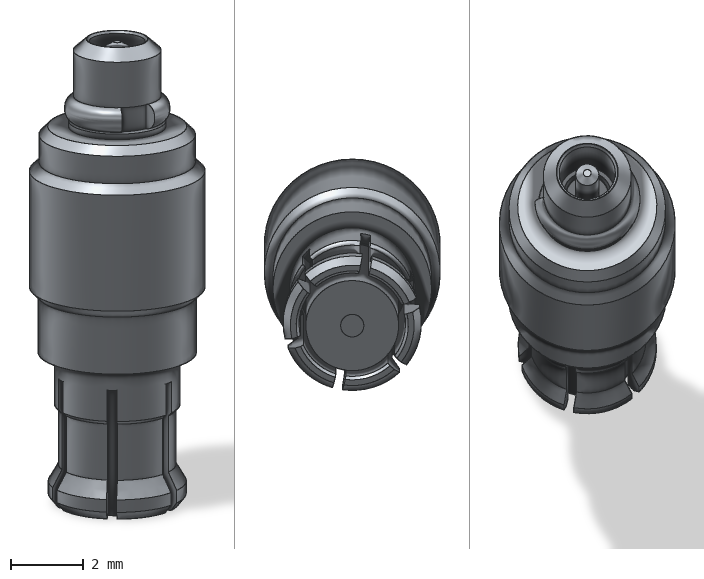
import cadquery as cq
import math

total_height = 13.28

housing_bottom_z = 5.95
barrel_radius = 2.42
barrel_top_z = 9.51
shoulder_radius = 2.15
shoulder_base_z = 9.76
shoulder_top_z = 10.78
shoulder_bevel = 0.24
nose_collar_radius = 1.34
nose_radius = 1.21
nose_rim_radius = 0.85
nose_bevel_height = 0.32

groove_radius = 1.12
groove_bottom_z = 10.94
ring_height = 0.72
ring_outer_radius = 1.45
ring_band_height = 0.07
ring_gap_half_angle = 20.0

socket_radius = 0.77
socket_depth = 1.6
throat_radius = 0.58
bore_bevel = 0.07
insulator_face_depth = 1.73

flange_radius = 2.18
flange_bottom_z = 4.32
sleeve_radius = 1.73
sleeve_bottom_z = 2.83
finger_radius = 1.62
finger_bottom_z = 1.12
bead_radius = 1.9
bead_top_z = 0.64
bead_bottom_z = 0.28
tip_radius = 1.7
tip_z = 0.03
finger_bore_radius = 1.46
finger_bore_bevel = 0.08
slot_count = 6
slot_width = 0.28
slot_top_z = 3.72
first_slot_angle = 30.0

core_radius = 1.27

pin_radius = 0.32
pin_tip_radius = 0.1
pin_top_z = 13.2
pin_bevel_height = 0.12

groove_top_z = groove_bottom_z + ring_height
socket_floor_z = total_height - socket_depth
insulator_top_z = total_height - insulator_face_depth
barrel_edge_bevel = barrel_radius - flange_radius
sleeve_bevel = sleeve_radius - finger_radius


def turned(profile):
    """Revolve a closed half-section, drawn as (radius, z), about the Z axis."""
    return profile.close().revolve(360, (0, 0, 0), (0, 1, 0))


def make_housing():
    """Barrel, shoulder and grooved nose with a stepped bore right through."""
    points = [
        (throat_radius, housing_bottom_z),
        (flange_radius, housing_bottom_z),
        (barrel_radius, housing_bottom_z + barrel_edge_bevel),
        (barrel_radius, barrel_top_z),
        (shoulder_radius, shoulder_base_z),
        (shoulder_radius, shoulder_top_z - shoulder_bevel),
        (shoulder_radius - shoulder_bevel, shoulder_top_z),
        (nose_collar_radius, shoulder_top_z),
        (nose_collar_radius, groove_bottom_z),
        (groove_radius, groove_bottom_z),
        (groove_radius, groove_top_z),
        (nose_radius, groove_top_z),
        (nose_radius, total_height - nose_bevel_height),
        (nose_rim_radius, total_height),
        (socket_radius + bore_bevel, total_height),
        (socket_radius, total_height - bore_bevel),
        (socket_radius, socket_floor_z),
        (throat_radius + bore_bevel, socket_floor_z),
        (throat_radius, socket_floor_z - bore_bevel),
    ]
    return turned(cq.Workplane("XZ").polyline(points))


def make_snap_ring():
    """Open ring with a rounded outer side, its gap facing +X."""
    arc_radius = (ring_height - ring_band_height) / 2
    arc_rise = arc_radius * math.sqrt(0.5)
    arc_center_radius = ring_outer_radius - arc_radius
    lower_center_z = groove_bottom_z + arc_radius
    upper_center_z = groove_top_z - arc_radius
    sweep_angle = 360 - 2 * ring_gap_half_angle
    ring = (
        cq.Workplane("XZ")
        .moveTo(groove_radius, groove_bottom_z)
        .lineTo(arc_center_radius, groove_bottom_z)
        .threePointArc(
            (arc_center_radius + arc_rise, lower_center_z - arc_rise),
            (ring_outer_radius, lower_center_z),
        )
        .lineTo(ring_outer_radius, upper_center_z)
        .threePointArc(
            (arc_center_radius + arc_rise, upper_center_z + arc_rise),
            (arc_center_radius, groove_top_z),
        )
        .lineTo(groove_radius, groove_top_z)
        .close()
        .revolve(sweep_angle, (0, 0, 0), (0, 1, 0))
    )
    return ring.rotate((0, 0, 0), (0, 0, 1), ring_gap_half_angle)


def make_collet():
    """Flanged sleeve split into spring fingers that end in a flared bead."""
    points = [
        (finger_bore_radius + finger_bore_bevel, tip_z),
        (tip_radius, tip_z),
        (bead_radius, bead_bottom_z),
        (bead_radius, bead_top_z),
        (finger_radius, finger_bottom_z),
        (finger_radius, sleeve_bottom_z - sleeve_bevel),
        (sleeve_radius, sleeve_bottom_z),
        (sleeve_radius, flange_bottom_z),
        (flange_radius, flange_bottom_z),
        (flange_radius, housing_bottom_z),
        (core_radius, housing_bottom_z),
        (core_radius, flange_bottom_z),
        (finger_bore_radius, flange_bottom_z),
        (finger_bore_radius, tip_z + finger_bore_bevel),
    ]
    collet = turned(cq.Workplane("XZ").polyline(points))
    slot = cq.Workplane("XY").box(flange_radius, slot_width, slot_top_z, centered=(False, True, False))
    for index in range(slot_count):
        angle = first_slot_angle + index * 360 / slot_count
        collet = collet.cut(slot.rotate((0, 0, 0), (0, 0, 1), angle))
    return collet


def make_insulator():
    """Core around the pin, seated in the collet flange and the housing throat."""
    points = [
        (pin_radius, 0),
        (core_radius, 0),
        (core_radius, housing_bottom_z),
        (throat_radius, housing_bottom_z),
        (throat_radius, insulator_top_z),
        (pin_radius, insulator_top_z),
    ]
    return turned(cq.Workplane("XZ").polyline(points))


def make_pin():
    """Straight contact pin with a bevelled tip."""
    points = [
        (0, 0),
        (pin_radius, 0),
        (pin_radius, pin_top_z - pin_bevel_height),
        (pin_tip_radius, pin_top_z),
        (0, pin_top_z),
    ]
    return turned(cq.Workplane("XZ").polyline(points))


housing = make_housing()
snap_ring = make_snap_ring()
collet = make_collet()
insulator = make_insulator()
pin = make_pin()

result = cq.Compound.makeCompound([
    housing.val(),
    snap_ring.val(),
    collet.val(),
    insulator.val(),
    pin.val(),
])